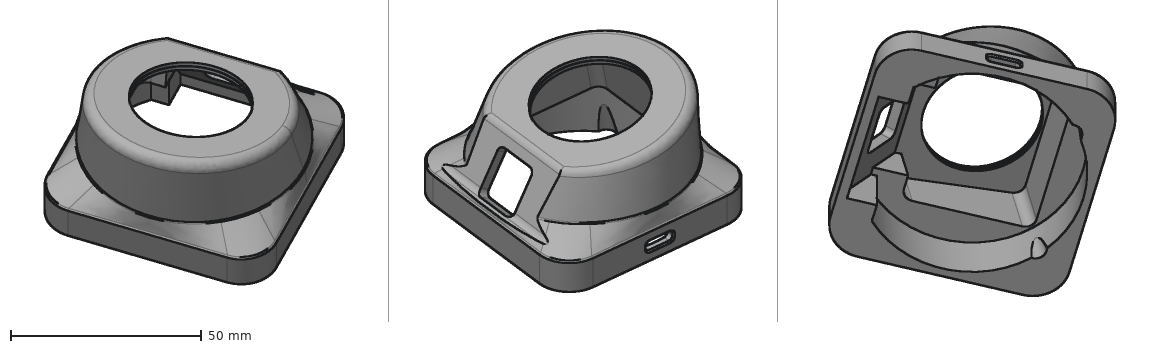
import cadquery as cq
import math

BASE_SIDE = 65.0
BASE_CORNER_RADIUS = 10.0
BASE_HEIGHT = 9.9
BASE_EDGE_CHAMFER = 0.5

SHOULDER_TOP_Z = 14.5
SHOULDER_RADIUS = 31.3
NECK_Z = 14.9
NECK_RADIUS = 31.0

TILT = 10.0
HEAD_CENTER_Y = -2.7
HEAD_CENTER_Z = 31.4
HEAD_RADIUS = 28.1
HEAD_EDGE_FILLET = 2.85

REAR_ANGLE = 60.0
REAR_FOOT_Y = 28.6
REAR_FOOT_Z = 12.4
LEDGE_START_Y = 30.5
LEDGE_ANGLE = 7.0

HOLE_RADIUS = 16.3
LIP_RADIUS = 16.2
HOLE_OFFSET = 0.4
LIP_BAND_DEPTH = 1.2
LIP_DEPTH = 2 * LIP_BAND_DEPTH

CHAMBER_HALF_WIDTH = 21.0
CHAMBER_REAR = 19.0
CHAMBER_FRONT = -16.5
CHAMBER_CORNER_RADIUS = 3.0
NOTCH_HALF_WIDTH = 13.8
REAR_WALL = 3.2
CAVITY_RADIUS = 30.2
CAVITY_HEIGHT = 15.2
CAVITY_REAR_Y = 21.65
CHANNEL_HALF_WIDTH = 16.0
CHANNEL_WALL_HEIGHT = 4.0

REAR_SLOT_WIDTH = 14.3
REAR_SLOT_FRONT_Y = 22.2
REAR_SLOT_LENGTH = 14.7
REAR_SLOT_CORNER_RADIUS = 1.8
REAR_SLOT_DEPTH = 8.0

PORT_LENGTH = 9.0
PORT_HEIGHT = 3.0
PORT_CORNER_RADIUS = 1.2
PORT_CENTER_Z = 4.65
PORT_CHAMFER = 0.5

CLEARANCE = 40.0


def head_plane():
    """Plane of the tilted top face, with local y running down the slope to the rear."""
    tilt = math.radians(TILT)
    return cq.Plane(
        origin=(0, HEAD_CENTER_Y, HEAD_CENTER_Z),
        xDir=(1, 0, 0),
        normal=(0, math.sin(tilt), math.cos(tilt)),
    )


def chamber_plane():
    """Underside of the lip around the opening, parallel to the top face."""
    return cq.Workplane(head_plane()).workplane(offset=-LIP_DEPTH).plane


def rounded_square(side, radius, z):
    sketch = cq.Sketch().rect(side, side).vertices().fillet(radius)
    return cq.Workplane("XY", origin=(0, 0, z)).placeSketch(sketch)


def loft_between(lower, upper):
    return cq.Workplane(cq.Solid.makeLoft([lower, upper], True))


def circle_wire(radius, z):
    return cq.Wire.makeCircle(radius, cq.Vector(0, 0, z), cq.Vector(0, 0, 1))


def make_base():
    base = rounded_square(BASE_SIDE, BASE_CORNER_RADIUS, 0).extrude(BASE_HEIGHT)
    return base.faces(">Z").edges().chamfer(BASE_EDGE_CHAMFER)


def make_shoulder():
    side = BASE_SIDE - 2 * BASE_EDGE_CHAMFER
    radius = BASE_CORNER_RADIUS - BASE_EDGE_CHAMFER
    foot_block = rounded_square(side, radius, BASE_HEIGHT).extrude(BASE_HEIGHT)
    foot = foot_block.faces("<Z").wires().val()
    return loft_between(foot, circle_wire(SHOULDER_RADIUS, SHOULDER_TOP_Z))


def make_neck():
    lower = circle_wire(SHOULDER_RADIUS, SHOULDER_TOP_Z)
    return loft_between(lower, circle_wire(NECK_RADIUS, NECK_Z))


def make_head():
    plane = head_plane()
    top = cq.Wire.makeCircle(HEAD_RADIUS, plane.origin, plane.zDir)
    return loft_between(circle_wire(NECK_RADIUS, NECK_Z), top)


def make_rear_cut():
    """Prism along X: straight slope, concave arc and a gently falling ledge."""
    slope = math.radians(REAR_ANGLE)
    ledge = math.radians(LEDGE_ANGLE)
    radius = (LEDGE_START_Y - REAR_FOOT_Y) / (math.sin(slope) - math.sin(ledge))
    center_y = REAR_FOOT_Y + radius * math.sin(slope)
    center_z = REAR_FOOT_Z + radius * math.cos(slope)
    middle = (slope + ledge) / 2

    def arc_point(angle):
        return (center_y - radius * math.sin(angle), center_z - radius * math.cos(angle))

    ledge_start = arc_point(ledge)
    outer_y = BASE_SIDE / 2 + CLEARANCE
    slope_top_y = REAR_FOOT_Y - CLEARANCE / math.tan(slope)
    slope_top_z = REAR_FOOT_Z + CLEARANCE
    return (
        cq.Workplane("YZ")
        .moveTo(slope_top_y, slope_top_z)
        .lineTo(REAR_FOOT_Y, REAR_FOOT_Z)
        .threePointArc(arc_point(middle), ledge_start)
        .lineTo(outer_y, ledge_start[1] - (outer_y - ledge_start[0]) * math.tan(ledge))
        .lineTo(outer_y, slope_top_z)
        .close()
        .extrude(BASE_SIDE / 2, both=True)
    )


def make_upper_body():
    upper = make_shoulder().union(make_neck()).union(make_head())
    upper = upper.cut(make_rear_cut())
    top_face = cq.selectors.DirectionMinMaxSelector(head_plane().zDir, True)
    return upper.faces(top_face).edges().fillet(HEAD_EDGE_FILLET)


def make_hole():
    start = cq.Workplane(head_plane()).center(0, HOLE_OFFSET)
    outer_band = start.circle(HOLE_RADIUS).extrude(-LIP_BAND_DEPTH)
    inner_band = start.circle(LIP_RADIUS).extrude(-LIP_DEPTH)
    return outer_band.union(inner_band)


def make_chamber():
    """Chamber square to the tilted face, opening down into the base cavity."""
    return (
        cq.Workplane(chamber_plane())
        .center(0, (CHAMBER_FRONT + CHAMBER_REAR) / 2)
        .rect(2 * CHAMBER_HALF_WIDTH, CHAMBER_REAR - CHAMBER_FRONT)
        .extrude(-CLEARANCE)
        .edges(cq.selectors.ParallelDirSelector(head_plane().zDir))
        .fillet(CHAMBER_CORNER_RADIUS)
    )


def rear_wall_y(z):
    """Y of the sloped inner wall, which lies parallel to the rear slope."""
    slope = math.radians(REAR_ANGLE)
    return REAR_FOOT_Y - REAR_WALL / math.sin(slope) - (z - REAR_FOOT_Z) / math.tan(slope)


def under_slope_prism(half_width, bottom_z, top_z):
    """Prism along X whose rear face is the sloped inner wall."""
    return (
        cq.Workplane("YZ")
        .moveTo(0, bottom_z)
        .lineTo(rear_wall_y(bottom_z), bottom_z)
        .lineTo(rear_wall_y(top_z), top_z)
        .lineTo(0, top_z)
        .close()
        .extrude(half_width, both=True)
    )


def make_rear_notch():
    """Narrower pocket behind the chamber, closed above by the lip."""
    notch = under_slope_prism(NOTCH_HALF_WIDTH, CHANNEL_WALL_HEIGHT, HEAD_CENTER_Z)
    below_lip = cq.Workplane(chamber_plane()).rect(BASE_SIDE, 2 * BASE_SIDE).extrude(-CLEARANCE)
    return notch.intersect(below_lip)


def make_base_cavity():
    """Round recess with a flat rear wall and a cable channel cut into that wall."""
    rear_half_width = math.sqrt(CAVITY_RADIUS**2 - CAVITY_REAR_Y**2)
    recess = (
        cq.Workplane("XY")
        .moveTo(rear_half_width, CAVITY_REAR_Y)
        .threePointArc((0, -CAVITY_RADIUS), (-rear_half_width, CAVITY_REAR_Y))
        .close()
        .extrude(CAVITY_HEIGHT)
    )
    channel_rear_y = rear_wall_y(CHANNEL_WALL_HEIGHT)
    channel = (
        cq.Workplane("XY")
        .center(0, channel_rear_y / 2)
        .rect(2 * CHANNEL_HALF_WIDTH, channel_rear_y)
        .extrude(CHANNEL_WALL_HEIGHT)
    )
    sloped_channel = under_slope_prism(CHANNEL_HALF_WIDTH, CHANNEL_WALL_HEIGHT, CAVITY_HEIGHT)
    return recess.union(channel).union(sloped_channel)


def make_rear_slot():
    """Rounded slot square to the rear slope, opening into the notch and the channel."""
    slope = math.radians(REAR_ANGLE)
    front_z = REAR_FOOT_Z + (REAR_FOOT_Y - REAR_SLOT_FRONT_Y) * math.tan(slope)
    plane = cq.Plane(
        origin=(0, REAR_SLOT_FRONT_Y, front_z),
        xDir=(1, 0, 0),
        normal=(0, math.sin(slope), math.cos(slope)),
    )
    return (
        cq.Workplane(plane)
        .center(0, REAR_SLOT_LENGTH / 2)
        .rect(REAR_SLOT_WIDTH, REAR_SLOT_LENGTH)
        .extrude(REAR_SLOT_DEPTH, both=True)
        .edges(cq.selectors.ParallelDirSelector(plane.zDir))
        .fillet(REAR_SLOT_CORNER_RADIUS)
    )


def make_port():
    """Rounded port through the -X wall with a chamfered mouth."""
    plane = cq.Plane(origin=(-BASE_SIDE / 2, 0, PORT_CENTER_Z), xDir=(0, 1, 0), normal=(1, 0, 0))

    def outline(grow):
        sketch = cq.Sketch().rect(PORT_LENGTH + 2 * grow, PORT_HEIGHT + 2 * grow)
        return sketch.vertices().fillet(PORT_CORNER_RADIUS + grow)

    opening = cq.Workplane(plane).placeSketch(outline(0)).extrude(BASE_SIDE / 2)
    inner = outline(0).moved(cq.Location(cq.Vector(0, 0, PORT_CHAMFER)))
    mouth = cq.Workplane(plane).placeSketch(outline(PORT_CHAMFER), inner).loft()
    return opening.union(mouth)


body = make_base().union(make_upper_body())
cutters = (
    make_hole(),
    make_chamber(),
    make_rear_notch(),
    make_base_cavity(),
    make_rear_slot(),
    make_port(),
)
for cutter in cutters:
    body = body.cut(cutter)
result = body